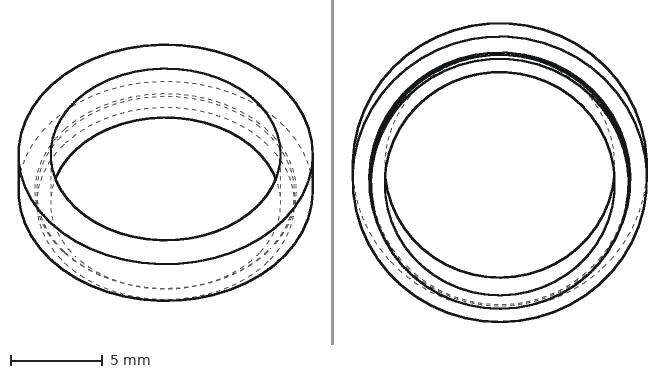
import cadquery as cq

outer_diameter = 16
spigot_diameter = 14.0
bore_diameter = 12.5
total_height = 4
root_chamfer = 0.1

outer_radius = outer_diameter / 2
spigot_radius = spigot_diameter / 2
bore_radius = bore_diameter / 2
spigot_height = outer_radius - spigot_radius

wall_section = (
    cq.Workplane("XZ")
    .moveTo(bore_radius, 0)
    .lineTo(spigot_radius, 0)
    .lineTo(spigot_radius, spigot_height - root_chamfer)
    .lineTo(spigot_radius + root_chamfer, spigot_height)
    .lineTo(outer_radius, spigot_height)
    .lineTo(outer_radius, total_height)
    .lineTo(bore_radius, total_height)
    .close()
)

result = wall_section.revolve(360, (0, 0, 0), (0, 1, 0))